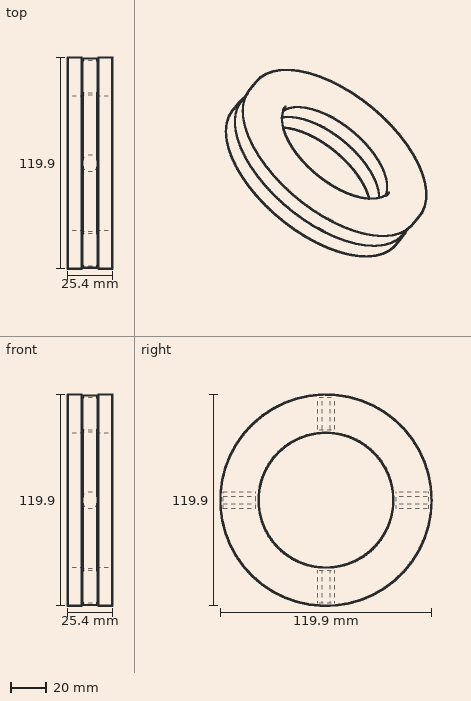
import cadquery as cq

bearing_width = 25.4
washer_outer_diameter = 119.9
washer_bore_diameter = 76.2
washer_edge_radius = 0.5

cage_outer_diameter = 118.8
cage_bore_diameter = 77.2
cage_width = 8.4
cage_edge_radius = 0.5

roller_diameter = 9.5
roller_end_wall = 1.2
roller_count = 4

washer_width = (bearing_width - roller_diameter) / 2
washer_offset = roller_diameter / 2
roller_inner_end = cage_bore_diameter / 2 + roller_end_wall
roller_outer_end = cage_outer_diameter / 2 - roller_end_wall
roller_length = roller_outer_end - roller_inner_end
roller_pitch_angle = 360.0 / roller_count


def make_ring(start_x, width, outer_diameter, bore_diameter, edge_radius):
    """Flat ring around the X axis with all four circular edges rounded."""
    return (
        cq.Workplane("YZ", origin=(start_x, 0, 0))
        .circle(outer_diameter / 2)
        .circle(bore_diameter / 2)
        .extrude(width)
        .edges("%CIRCLE")
        .fillet(edge_radius)
    )


def make_washer(start_x):
    """Bearing washer whose lower X face is at start_x."""
    return make_ring(
        start_x, washer_width, washer_outer_diameter, washer_bore_diameter, washer_edge_radius
    )


def make_roller(angle):
    """Cylindrical roller lying radially, turned about the X axis from +Z."""
    return (
        cq.Workplane("XY", origin=(0, 0, roller_inner_end))
        .circle(roller_diameter / 2)
        .extrude(roller_length)
        .rotate((0, 0, 0), (1, 0, 0), angle)
    )


def make_cage(rollers):
    """Roller cage with one closely fitting pocket per roller."""
    cage = make_ring(
        -cage_width / 2, cage_width, cage_outer_diameter, cage_bore_diameter, cage_edge_radius
    )
    for roller in rollers:
        cage = cage.cut(roller)
    return cage


left_washer = make_washer(-bearing_width / 2)
right_washer = make_washer(washer_offset)
rollers = [make_roller(index * roller_pitch_angle) for index in range(roller_count)]
cage = make_cage(rollers)

result = cq.Compound.makeCompound(
    [left_washer.val(), right_washer.val(), *cage.vals(), *[roller.val() for roller in rollers]]
)